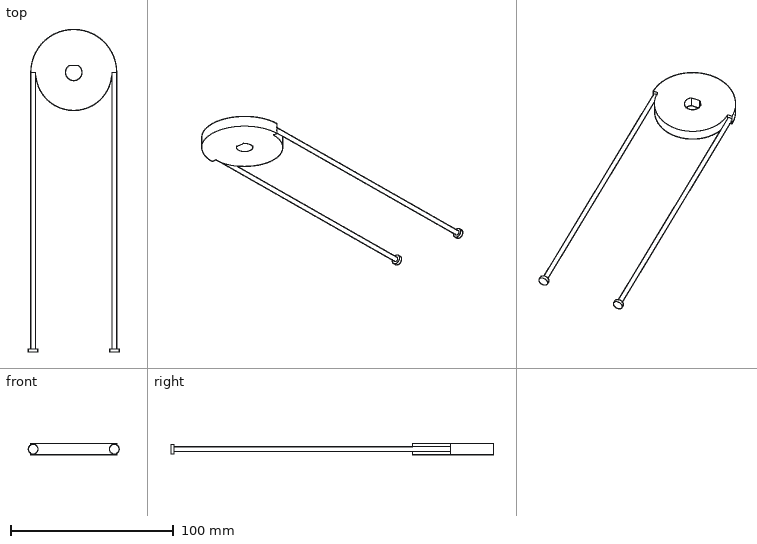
import cadquery as cq

disc_thickness = 7.0
rod_pitch_radius = 25.0
rod_diameter = 3.0
rod_length = 170.0
head_diameter = 6.0
head_thickness = 2.0
bore_diameter = 10.0
bore_flat_offset = 4.2

rod_radius = rod_diameter / 2
outer_radius = rod_pitch_radius + rod_radius
inner_radius = rod_pitch_radius - rod_radius


def make_disc():
    """Plate with a larger half on +Y and a smaller half on -Y, stepped on the X axis."""
    return (
        cq.Workplane("XY")
        .moveTo(outer_radius, 0)
        .threePointArc((0, outer_radius), (-outer_radius, 0))
        .lineTo(-inner_radius, 0)
        .threePointArc((0, -inner_radius), (inner_radius, 0))
        .close()
        .extrude(disc_thickness / 2, both=True)
    )


def make_bore():
    """D-shaped through bore with its flat on the +Y side."""
    bore = cq.Workplane("XY").circle(bore_diameter / 2).extrude(disc_thickness / 2, both=True)
    below_flat = (
        cq.Workplane("XY")
        .center(0, bore_flat_offset - bore_diameter / 2)
        .rect(bore_diameter, bore_diameter)
        .extrude(disc_thickness / 2, both=True)
    )
    return bore.intersect(below_flat)


def make_rod(x):
    """Rod running from the disc step toward -Y, ending in a round head."""
    shaft = cq.Workplane("XZ").center(x, 0).circle(rod_radius).extrude(rod_length)
    head = (
        cq.Workplane("XZ", origin=(0, -rod_length, 0))
        .center(x, 0)
        .circle(head_diameter / 2)
        .extrude(head_thickness)
    )
    return shaft.union(head)


result = make_disc().cut(make_bore())
for side in (-1, 1):
    result = result.union(make_rod(side * rod_pitch_radius))